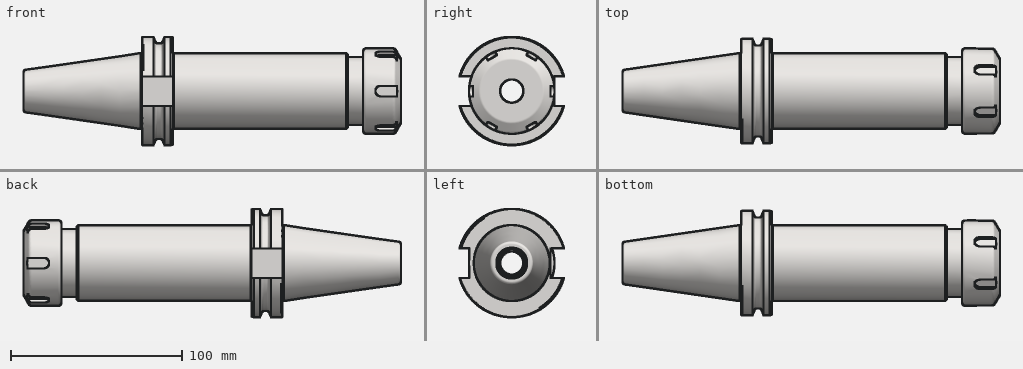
import cadquery as cq
import math


total_length = 220.6
selection_margin = 0.2

taper_length = 67.7
taper_small_diameter = 24.7
collar_start = 68.5
collar_end = 88.0
collar_diameter = 44.5
taper_end_fillet = 1.8
shank_diameter = 44.4
shank_end = 189.8
shank_chamfer = 1.3
neck_diameter = 40.0
neck_end = 211.5

flange_diameter = 63.5
flange_start = 69.3
flange_end = 87.4
flange_front_fillet = 0.9
flange_rear_chamfer_length = 1.3
flange_rear_chamfer_depth = 0.5

groove_center = 79.2
groove_top_width = 6.6
groove_floor_width = 3.3
groove_floor_diameter = 56.0
groove_floor_fillet = 0.9

notch_width = 17.2
shallow_notch_floor = 25.0
deep_notch_floor = 22.5

bore_diameter = 13.5
counterbore_diameter = 16.8
counterbore_depth = 4.6
bore_entry_diameter = 16.3
mouth_diameter = 18.0

nut_start = 198.4
nut_diameter = 50.0
nut_rear_fillet = 2.0
nut_rim_diameter = 37.3
nut_cone_angle = 60.0
nut_front_fillet = 2.2
slot_count = 6
first_slot_angle = 90.0
slot_width = 6.2
slot_start = 205.6
slot_floor = 22.5


def turned(points):
    """Revolve an outline of (x, radius) points about the X axis."""
    return cq.Workplane("XY").polyline(points).close().revolve(360, (0, 0, 0), (1, 0, 0))


def rod(start, end, diameter):
    """Cylinder on the X axis."""
    return cq.Workplane("YZ").workplane(offset=start).circle(diameter / 2).extrude(end - start)


def ring_edges(center, width, radius):
    """Selector for circular edges near the given radius within a short span of X."""
    half_span = width / 2 + selection_margin
    reach = radius + selection_margin
    return cq.selectors.BoxSelector(
        (center - half_span, -reach, -reach), (center + half_span, reach, reach), boundingbox=True
    )


def make_flange():
    radius = flange_diameter / 2
    floor_radius = groove_floor_diameter / 2
    blank = turned([
        (flange_start, 0),
        (flange_start, radius),
        (groove_center - groove_top_width / 2, radius),
        (groove_center - groove_floor_width / 2, floor_radius),
        (groove_center + groove_floor_width / 2, floor_radius),
        (groove_center + groove_top_width / 2, radius),
        (flange_end - flange_rear_chamfer_length, radius),
        (flange_end, radius - flange_rear_chamfer_depth),
        (flange_end, 0),
    ])
    blank = blank.faces("<X").edges().fillet(flange_front_fillet)
    floor_edges = ring_edges(groove_center, groove_floor_width, floor_radius)
    blank = blank.edges(floor_edges).fillet(groove_floor_fillet)
    return blank.cut(notch(1, shallow_notch_floor)).cut(notch(-1, deep_notch_floor))


def notch(side, floor):
    """Driving notch across the flange on the given Y side."""
    depth = flange_diameter / 2 - floor
    length = flange_end - flange_start
    return cq.Workplane("XY").box(length, depth, notch_width).translate(
        ((flange_start + flange_end) / 2, side * (floor + depth / 2), 0)
    )


def make_holder():
    taper = turned([
        (0, 0),
        (0, taper_small_diameter / 2),
        (taper_length, shank_diameter / 2),
        (taper_length, 0),
    ]).faces("<X").edges().fillet(taper_end_fillet)
    collar = rod(collar_start, collar_end, collar_diameter)
    shank = rod(taper_length, shank_end, shank_diameter).faces(">X").edges().chamfer(shank_chamfer)
    neck = rod(shank_end, neck_end, neck_diameter)
    mouth_chamfer = (mouth_diameter - counterbore_diameter) / 2
    entry_chamfer = (bore_entry_diameter - bore_diameter) / 2
    bore = turned([
        (0, 0),
        (0, mouth_diameter / 2),
        (mouth_chamfer, counterbore_diameter / 2),
        (counterbore_depth, counterbore_diameter / 2),
        (counterbore_depth, bore_entry_diameter / 2),
        (counterbore_depth + entry_chamfer, bore_diameter / 2),
        (neck_end, bore_diameter / 2),
        (neck_end, 0),
    ])
    return taper.union(collar).union(make_flange()).union(shank).union(neck).cut(bore)


def nut_slot(angle):
    """Round-ended wrench slot, open toward the nut face."""
    radius = slot_width / 2
    depth = nut_diameter / 2 - slot_floor
    slot = (
        cq.Workplane("XY", origin=(0, 0, slot_floor))
        .moveTo(total_length, -radius)
        .lineTo(slot_start + radius, -radius)
        .threePointArc((slot_start, 0), (slot_start + radius, radius))
        .lineTo(total_length, radius)
        .close()
        .extrude(depth)
    )
    return slot.rotate((0, 0, 0), (1, 0, 0), angle)


def make_nut():
    radius = nut_diameter / 2
    rim_radius = nut_rim_diameter / 2
    cone_length = (radius - rim_radius) / math.tan(math.radians(nut_cone_angle))
    cone_start = total_length - cone_length
    nut = turned([
        (nut_start, 0),
        (nut_start, radius),
        (cone_start, radius),
        (total_length, rim_radius),
        (total_length, 0),
    ])
    nut = nut.faces("<X").edges().fillet(nut_rear_fillet)
    shoulder = ring_edges(cone_start, 0, radius)
    nut = nut.edges(shoulder).fillet(nut_front_fillet)
    nut = nut.faces(">X").edges().fillet(nut_front_fillet)
    nut = nut.cut(rod(nut_start, neck_end, neck_diameter))
    nut = nut.cut(rod(neck_end, total_length, bore_diameter))
    for index in range(slot_count):
        nut = nut.cut(nut_slot(first_slot_angle + index * 360 / slot_count))
    return nut


holder = make_holder()
nut = make_nut()

result = cq.Compound.makeCompound([holder.val(), nut.val()])